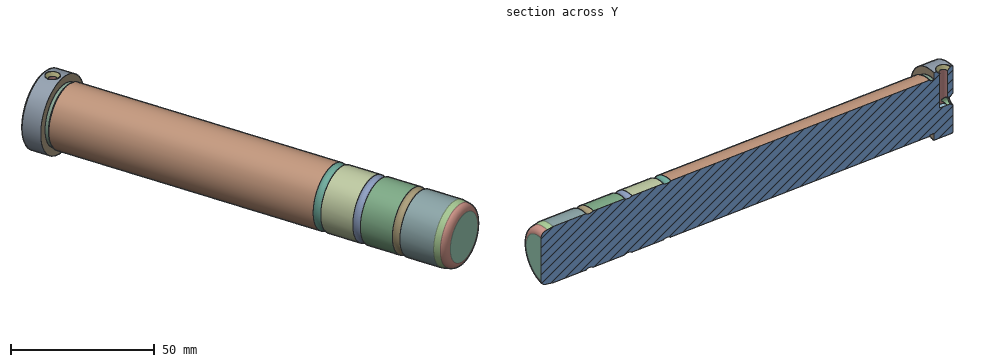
import cadquery as cq
import math

length = 170.0
head_diameter = 30.0
head_thickness = 8.0
head_chamfer = 0.5
shank_diameter = 25.0

relief_depth = 0.5
relief_flat = 1.4
relief_length = 1.9

groove_count = 3
first_groove = 116.5
groove_pitch = 16.0
groove_width = 3.0
groove_depth = 0.5

taper_length = 2.4
taper_drop = 0.5
nose_radius = 2.5

bore_diameter = 3.0
countersink_diameter = 5.5

head_radius = head_diameter / 2
shank_radius = shank_diameter / 2
back_x = -length / 2
front_x = length / 2
shoulder_x = back_x + head_thickness
hole_x = back_x + head_thickness / 2
countersink_depth = (countersink_diameter - bore_diameter) / 2


def pin_body():
    """Revolve the half profile about the X axis."""
    relief_radius = shank_radius - relief_depth
    nose_start = front_x - nose_radius
    nose_start_radius = shank_radius - taper_drop
    profile = (
        cq.Workplane("XY")
        .moveTo(back_x, 0)
        .lineTo(back_x, head_radius - head_chamfer)
        .lineTo(back_x + head_chamfer, head_radius)
        .lineTo(shoulder_x, head_radius)
        .lineTo(shoulder_x, relief_radius)
        .lineTo(shoulder_x + relief_flat, relief_radius)
        .lineTo(shoulder_x + relief_length, shank_radius)
    )
    for index in range(groove_count):
        start = back_x + first_groove + index * groove_pitch
        profile = profile.lineTo(start, shank_radius).threePointArc(
            (start + groove_width / 2, shank_radius - groove_depth),
            (start + groove_width, shank_radius),
        )
    profile = (
        profile.lineTo(nose_start - taper_length, shank_radius)
        .lineTo(nose_start, nose_start_radius)
        .radiusArc((front_x, nose_start_radius - nose_radius), nose_radius)
        .lineTo(front_x, 0)
        .close()
    )
    return profile.revolve(360, (0, 0, 0), (1, 0, 0))


def countersunk_hole(mouth, direction, depth, recess=0):
    """Cutter for a blind hole with a 90 degree countersink, sunk by a straight recess."""
    mouth_point = cq.Vector(*mouth)
    inward = cq.Vector(*direction)
    cone_point = mouth_point + inward * recess
    cutter = cq.Solid.makeCylinder(bore_diameter / 2, depth, mouth_point, inward)
    cone = cq.Solid.makeCone(
        countersink_diameter / 2, bore_diameter / 2, countersink_depth, cone_point, inward
    )
    cutter = cutter.fuse(cone)
    if recess > 0:
        counterbore = cq.Solid.makeCylinder(countersink_diameter / 2, recess, mouth_point, inward)
        cutter = cutter.fuse(counterbore)
    return cutter


crown_height = head_radius - math.sqrt(head_radius**2 - (countersink_diameter / 2) ** 2)
axial_hole = countersunk_hole((back_x, 0, 0), (1, 0, 0), head_thickness / 2)
radial_hole = countersunk_hole(
    (hole_x, 0, head_radius), (0, 0, -1), head_radius + bore_diameter / 2, crown_height
)

result = pin_body().cut(cq.Workplane(obj=axial_hole)).cut(cq.Workplane(obj=radial_hole))